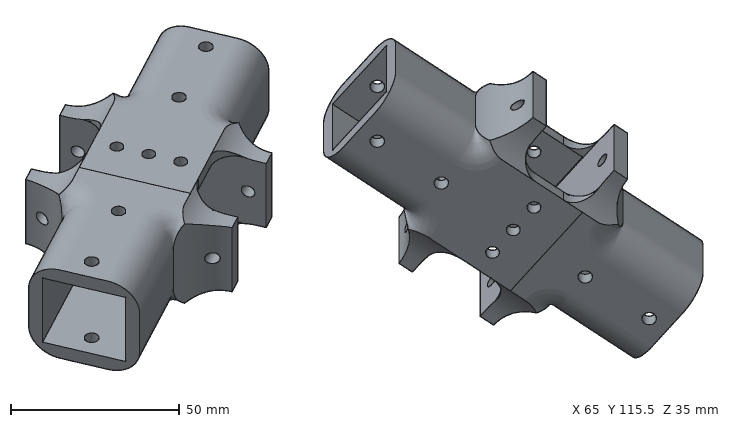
import cadquery as cq
import math

LENGTH = 115.5
SPAN = 65.0
SECTION = 35.0
FLAT_WIDTH = 15.0
SOCKET_WIDTH = 26.1
SOCKET_HEIGHT = 25.4
PASSAGE_WIDTH = 25.4
PASSAGE_HEIGHT = 26.1
WALL = 5.1
EAR_HEIGHT = 25.4
FLARE_RADIUS = 17.5
EAR_OUTER_RADIUS = 17.5
EAR_INNER_RADIUS = 7.4
PARTING_DISTANCE = 12.5
TUBE_START = 27.7
TUBE_HOLE_DIAMETER = 4.3
TUBE_HOLE_DISTANCES = (27.0, 51.0)
EAR_HOLE_DIAMETER = 4.3
EAR_HOLE_X = 26.8
PLATE_HOLE_DIAMETER = 4.0
PLATE_HOLE_PITCH = 10.0

HALF_LENGTH = LENGTH / 2
HALF_SPAN = SPAN / 2
HALF_SECTION = SECTION / 2
CORNER_RADIUS = (SECTION - FLAT_WIDTH) / 2
HALF_EAR = EAR_HEIGHT / 2
EAR_INNER_Y = PASSAGE_WIDTH / 2
EAR_OUTER_Y = EAR_INNER_Y + WALL
FLARE_RISE = HALF_SECTION - HALF_EAR
FLARE_RUN = math.sqrt(FLARE_RADIUS**2 - (FLARE_RADIUS - FLARE_RISE) ** 2)
SIGNS = (-1, 1)


def four_ways(shape):
    """Copies of a +X +Y shape mirrored into all four X-Y quadrants."""
    both_sides = [shape, shape.mirror("YZ")]
    return both_sides + [side.mirror("XZ") for side in both_sides]


def tube():
    """Tube blank with rounded long edges."""
    return cq.Workplane("XY").box(SECTION, LENGTH, SECTION).edges("|Y").fillet(CORNER_RADIUS)


def center_block():
    """Square-edged middle of the tube."""
    return cq.Workplane("XY").box(SECTION, 2 * TUBE_START, SECTION)


def ear():
    """The +X +Y ear: its plan outline limited by the flared end profile."""
    plan = (
        cq.Workplane("XY")
        .moveTo(HALF_SECTION, TUBE_START)
        .radiusArc((HALF_SPAN, EAR_OUTER_Y), -EAR_OUTER_RADIUS)
        .lineTo(HALF_SPAN, EAR_INNER_Y)
        .lineTo(HALF_SECTION + EAR_INNER_RADIUS, EAR_INNER_Y)
        .radiusArc((HALF_SECTION, EAR_INNER_Y - EAR_INNER_RADIUS), -EAR_INNER_RADIUS)
        .close()
        .extrude(HALF_SECTION, both=True)
    )
    flare_start = HALF_SECTION + FLARE_RUN
    profile = (
        cq.Workplane("XZ")
        .moveTo(HALF_SECTION, HALF_SECTION)
        .radiusArc((flare_start, HALF_EAR), -FLARE_RADIUS)
        .lineTo(HALF_SPAN, HALF_EAR)
        .lineTo(HALF_SPAN, -HALF_EAR)
        .lineTo(flare_start, -HALF_EAR)
        .radiusArc((HALF_SECTION, -HALF_SECTION), -FLARE_RADIUS)
        .close()
        .extrude(-TUBE_START)
    )
    return plan.intersect(profile)


def corner_hollows():
    """Upper and lower +X +Y cutters, swinging the rounded tube edge about the root of an ear."""
    base_z = HALF_SECTION - CORNER_RADIUS
    upper = (
        cq.Workplane("XZ", origin=(HALF_SECTION, TUBE_START, 0))
        .moveTo(0, base_z)
        .radiusArc((CORNER_RADIUS, HALF_SECTION), CORNER_RADIUS)
        .lineTo(0, HALF_SECTION)
        .close()
        .revolve(180, (0, 0), (0, -1))
    )
    return [upper, upper.mirror("XY")]


def hole(x, y, diameter):
    """Vertical cutter through the whole section."""
    return (
        cq.Workplane("XY")
        .center(x, y)
        .circle(diameter / 2)
        .extrude(HALF_SECTION, both=True)
    )


def ear_holes(sign):
    """Cutter along Y through both ears of one side."""
    return (
        cq.Workplane("XZ")
        .center(sign * EAR_HOLE_X, 0)
        .circle(EAR_HOLE_DIAMETER / 2)
        .extrude(TUBE_START, both=True)
    )


def connector():
    """The complete connector before it is parted into its two bodies."""
    shape = tube().union(center_block())
    for copy in four_ways(ear()):
        shape = shape.union(copy)
    for hollow in corner_hollows():
        for copy in four_ways(hollow):
            shape = shape.cut(copy)

    shape = shape.cut(cq.Workplane("XY").box(SPAN, PASSAGE_WIDTH, PASSAGE_HEIGHT))
    socket_depth = HALF_LENGTH - EAR_OUTER_Y
    socket_y = (HALF_LENGTH + EAR_OUTER_Y) / 2
    for sign in SIGNS:
        socket = cq.Workplane("XY").box(SOCKET_WIDTH, socket_depth, SOCKET_HEIGHT)
        shape = shape.cut(socket.translate((0, sign * socket_y, 0)))
        shape = shape.cut(ear_holes(sign))
        for distance in TUBE_HOLE_DISTANCES:
            shape = shape.cut(hole(0, sign * distance, TUBE_HOLE_DIAMETER))
    for x in (-PLATE_HOLE_PITCH, 0, PLATE_HOLE_PITCH):
        shape = shape.cut(hole(x, 0, PLATE_HOLE_DIAMETER))
    return shape


def end_region():
    """Space of the end body: beyond the joint at -Y, plus the ear fillets beside the plates."""
    region = cq.Workplane("XY").box(SPAN, HALF_LENGTH, SECTION).translate((0, -HALF_LENGTH / 2, 0))
    plates = cq.Workplane("XY").box(SECTION, 2 * PARTING_DISTANCE, SECTION)
    return region.cut(plates)


whole = connector()
main_body = whole.cut(end_region()).solids()
end_body = whole.intersect(end_region()).solids()

result = cq.Compound.makeCompound([main_body.val(), end_body.val()])